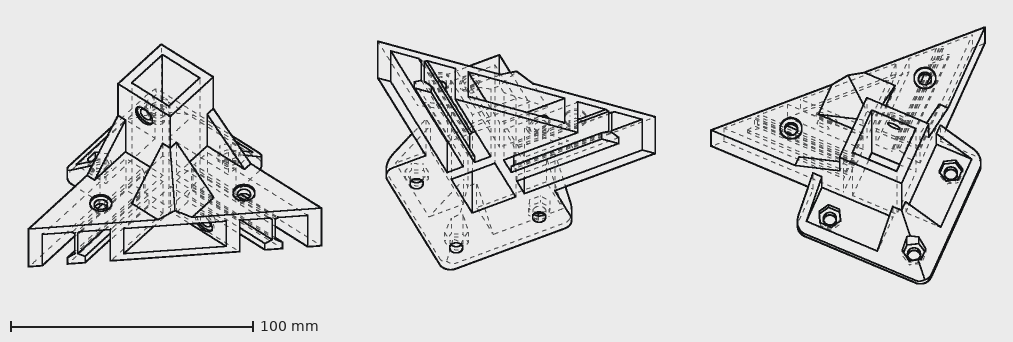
import cadquery as cq


overall = 106.0
height = 64.0
base_height = 24.0
tower = 28.0
wall = 4.0
flange = 20.0
flange_side = 60.0
flange_corner = 5.0
gusset = 20.0

leg = overall - flange
tower_mid = tower / 2
socket_height = base_height - wall

screw_dia = 5.4
head_dia = 9.0
head_depth = 1.0
roof_skin = 0.3
tower_screw_drop = 10.0
side_screw_x = 46.0
side_screw_z = 10.0
roof_screw = 2 * tower

flange_hole = 10.0
nut_flats = 8.5
nut_floor = wall
flange_floor = 2 * wall

rib_thick = 1.0
rib_foot = 5.2
rib_foot_height = 4.0
rib_flare = 0.8


def box(x0, x1, y0, y1, z0, z1):
    return cq.Workplane("XY").box(x1 - x0, y1 - y0, z1 - z0, centered=False).translate((x0, y0, z0))


def swap_arms(shape):
    """Mirror a shape across the vertical plane y = -x, which swaps the two sockets."""
    return shape.rotate((0, 0, 0), (0, 0, 1), 90).mirror("YZ").rotate((0, 0, 0), (0, 0, 1), 180)


def both_arms(shape):
    return shape.union(swap_arms(shape))


def triangle(thickness):
    return cq.Workplane("XY").polyline([(0, 0), (leg, 0), (0, -leg)]).close().extrude(thickness)


def slope_prism(points):
    """Extrude an XZ outline across the whole part in Y."""
    return cq.Workplane("XZ").polyline(points).close().extrude(overall, both=True)


def make_gussets():
    foot = tower + gusset
    under_slope = slope_prism([(0, 0), (foot + base_height, 0), (0, foot + base_height)])
    hipped = triangle(base_height + gusset).intersect(under_slope).intersect(swap_arms(under_slope))
    channel = box(tower, leg, wall - tower, -wall, base_height, height)
    return hipped.cut(both_arms(channel))


def make_flange():
    far = flange_side - flange
    plate = (
        box(-flange, far, -far, flange, 0, base_height)
        .edges("|Z").edges("<X or >Y").fillet(flange_corner)
    )
    under_slope = slope_prism(
        [(-flange, 0), (overall, 0), (overall, base_height), (0, base_height),
         (-flange, base_height - flange)]
    )
    inner_corner = box(0, overall, -overall, 0, 0, base_height)
    recess = box(wall, far - wall, 0, flange - wall, flange_floor, base_height)
    return (
        plate.intersect(under_slope).intersect(swap_arms(under_slope))
        .cut(inner_corner).cut(both_arms(recess))
    )


def make_socket():
    """Hollow of the +X socket with its support rib left standing."""
    hollow = box(tower, leg, wall - tower, -wall, 0, socket_height)
    half_rib = rib_thick / 2
    half_foot = rib_foot / 2
    taper_top = rib_foot_height + half_foot - half_rib
    half_outline = [
        (half_foot, 0),
        (half_foot, rib_foot_height),
        (half_rib, taper_top),
        (half_rib, socket_height - rib_flare),
        (half_rib + rib_flare, socket_height),
    ]
    outline = half_outline + [(-y, z) for y, z in reversed(half_outline)]
    rib = (
        cq.Workplane("YZ", origin=(tower, -tower_mid, 0))
        .polyline(outline).close().extrude(leg - tower)
    )
    return hollow.cut(rib)


def make_web_pocket():
    """Triangular pocket between the sockets, open through the sloping face."""
    return box(tower, leg, -leg, -tower, wall, socket_height)


def screw_hole(face, depth, x, y, z):
    """Counterbored hole drilled into a wall whose outward normal is given."""
    plane = cq.Plane(origin=(x, y, z), xDir=(1, 0, 0), normal=face)
    hole = cq.Workplane(plane).circle(screw_dia / 2).extrude(-depth)
    head = cq.Workplane(plane).circle(head_dia / 2).extrude(-head_depth)
    return hole.union(head)


def nut_hole(x, y, turn):
    nut = (
        cq.Workplane("XY").polygon(6, nut_flats, circumscribed=True).extrude(base_height)
        .rotate((0, 0, 0), (0, 0, 1), turn).translate((0, 0, nut_floor))
    )
    hole = cq.Workplane("XY").circle(screw_dia / 2).extrude(base_height)
    return nut.union(hole).translate((x, y, 0))


result = (
    triangle(base_height)
    .union(box(0, tower, -tower, 0, 0, height))
    .union(make_gussets())
    .union(make_flange())
)

result = (
    result.cut(box(wall, tower - wall, wall - tower, -wall, 0, height))
    .cut(both_arms(make_socket()))
    .cut(make_web_pocket())
)

roof_depth = wall - roof_skin
up = (0, 0, 1)
front = (0, -1, 0)
result = (
    result.cut(screw_hole(front, wall, tower_mid, -tower, height - tower_screw_drop))
    .cut(screw_hole(front, wall, side_screw_x, -tower, side_screw_z))
    .cut(screw_hole(up, roof_depth, roof_screw, -tower_mid, base_height))
    .cut(screw_hole(up, roof_depth, tower_mid, -roof_screw, base_height))
)

for x, y, turn in [
    (-flange_hole, flange_hole, 0),
    (-flange_hole, -tower, 0),
    (tower, flange_hole, 30),
]:
    result = result.cut(nut_hole(x, y, turn))